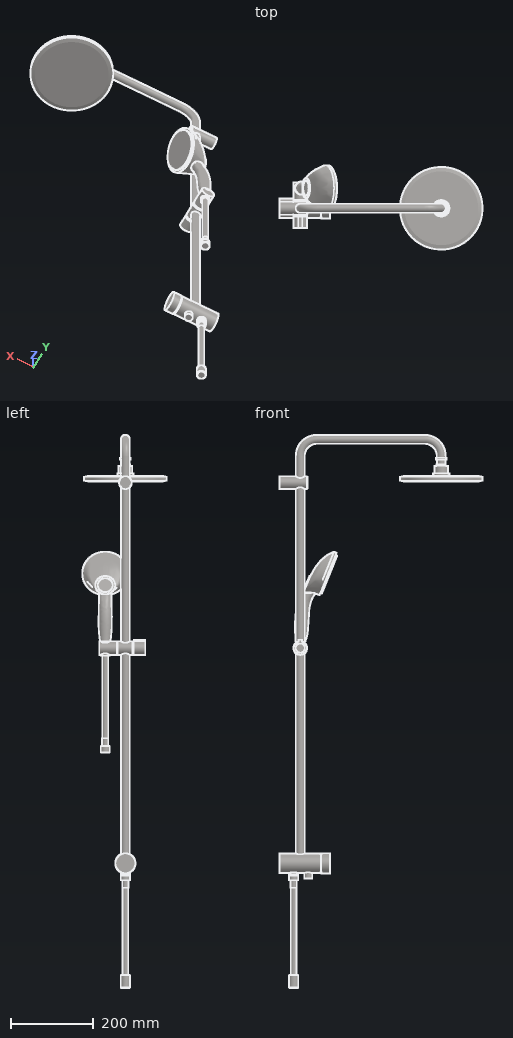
import cadquery as cq


rail_diameter = 22.0
arm_diameter = rail_diameter
bend_radius = 40.0
arm_reach = 340.0
arm_top = 1033.5
arm_axis_z = arm_top - arm_diameter / 2
bend_start_z = arm_axis_z - bend_radius
arm_end_length = 5.0
arm_end_z = bend_start_z - arm_end_length
wall_x = -50.55
bracket_diameter = 31.3
bracket_end_x = 18.0
bracket_z = 918.0
bracket_chamfer = 2.0

diverter_diameter = 48.0
diverter_end_x = 49.0
diverter_knob_diameter = 49.5
diverter_knob_end_x = 72.0
diverter_knob_gap = 2.0
diverter_knob_groove_depth = 2.5
button_x = 19.0
button_diameter = 19.9
button_bottom_z = -37.0

hose_diameter = 15.0
hose_nut_diameter = 22.6
supply_hose_x = -16.0
supply_nut_bottom_z = -41.0
outlet_groove_top_z = -27.0
outlet_groove_width = 3.0
outlet_groove_diameter = 20.96
ferrule_length = 18.0
ferrule_diameter = 15.6
supply_bottom_z = -300.86
end_nut_length = 32.0
end_nut_chamfer = 1.5

head_diameter = 200.0
plate_bottom_z = 920.5
plate_thickness = 14.0
plate_bevel_height = 2.5
plate_bevel_width = 11.0
hub_diameter = 33.4
hub_height = 24.0
hub_flange_diameter = 40.0
hub_flange_height = 6.0
swivel_diameter = 20.96
collar_diameter = 26.0
collar_thickness = 4.0
lower_collar_diameter = 22.9

slider_z = 519.0
slider_diameter = 33.4
slider_knob_rib_width = 9.0
slider_knob_rib_height = 3.5
slider_knob_recess_diameter = 22.0
slider_knob_recess_depth = 1.0
slider_back_y = 63.0
slider_front_y = -17.0
slider_knob_start_y = -20.0
slider_knob_end_y = -48.0
slider_neck_diameter = 31.3
slider_groove_y = 18.0
slider_groove_width = 3.0

hand_y = 48.67
hand_head_radius = 55.5
face_x = 69.0
face_z = 697.0
face_tilt = 22.0
facing_x_angle = 90.0
face_diameter = 98.8
face_lip = 2.0
hand_rim_thickness = 9.0
dial_diameter = 48.0
dial_drop = 45.0
dial_depth = 40.0
dial_thickness = 2.0
back_middle_radius = 46.0
back_middle_drop = 12.0
back_middle_depth = 26.0
dial_recess_diameter = 36.0
dial_recess_depth = 1.0
stem_diameter = 22.6
stem_top_z = 535.0
stem_bottom_z = 500.0
hand_hose_bottom_z = 266.5
hand_end_nut_length = 17.0
handle_sections = [(0.0, 535.0, 12.5), (4.0, 590.0, 16.5), (11.0, 632.0, 15.5), (22.0, 652.0, 15.5)]


def upright(diameter, bottom_z, top_z, x=0.0, y=0.0):
    """Vertical cylinder between two heights."""
    base = cq.Workplane("XY", origin=(x, y, bottom_z))
    return base.circle(diameter / 2).extrude(top_z - bottom_z)


def along_x(diameter, start_x, end_x, z):
    """Cylinder parallel to X, on the plane of the rail axis."""
    base = cq.Workplane("YZ", origin=(start_x, 0, z))
    return base.circle(diameter / 2).extrude(end_x - start_x)


def along_y(diameter, start_y, end_y, z):
    """Cylinder parallel to Y through the rail axis; end_y is greater than start_y."""
    base = cq.Workplane("XZ", origin=(0, end_y, z))
    return base.circle(diameter / 2).extrude(end_y - start_y)


def hose(x, y, top_z, bottom_z, nut_length, ferrule_top_z):
    """Hose with a slightly wider ferrule and a chamfered nut at its lower end."""
    nut_top_z = bottom_z + nut_length
    line = upright(hose_diameter, nut_top_z, top_z, x, y)
    ferrule = upright(ferrule_diameter, ferrule_top_z - ferrule_length, ferrule_top_z, x, y)
    nut = upright(hose_nut_diameter, bottom_z, nut_top_z, x, y)
    nut = nut.faces("<Z or >Z").chamfer(end_nut_chamfer)
    return line.union(ferrule).union(nut)


def make_arm():
    """Bent tube from the top of the rail, over and down to the overhead shower."""
    path = (
        cq.Workplane("XZ", origin=(0, 0, bend_start_z))
        .radiusArc((bend_radius, bend_radius), bend_radius)
        .lineTo(arm_reach - bend_radius, bend_radius)
        .radiusArc((arm_reach, 0), bend_radius)
        .lineTo(arm_reach, arm_end_z - bend_start_z)
    )
    section = cq.Workplane("XY", origin=(0, 0, bend_start_z)).circle(arm_diameter / 2)
    return section.sweep(path)


def make_outlet():
    """Hose outlet under the diverter, with a groove around it."""
    groove_bottom_z = outlet_groove_top_z - outlet_groove_width
    nut = upright(hose_nut_diameter, supply_nut_bottom_z, groove_bottom_z, supply_hose_x)
    core = upright(outlet_groove_diameter, groove_bottom_z, outlet_groove_top_z, supply_hose_x)
    collar = upright(hose_nut_diameter, outlet_groove_top_z, 0, supply_hose_x)
    return nut.union(core).union(collar)


def make_diverter():
    """Horizontal diverter with its end knob, lower button and hose outlet."""
    knob_start_x = diverter_end_x + diverter_knob_gap
    neck_diameter = diverter_diameter - 2 * diverter_knob_groove_depth
    body = along_x(diverter_diameter, wall_x, diverter_end_x, 0)
    neck = along_x(neck_diameter, diverter_end_x, knob_start_x, 0)
    knob = along_x(diverter_knob_diameter, knob_start_x, diverter_knob_end_x, 0)
    button = upright(button_diameter, button_bottom_z, 0, button_x)
    return body.union(neck).union(knob).union(button).union(make_outlet())


def make_column():
    """Rail with arm, wall bracket, diverter and supply hose."""
    rail = upright(rail_diameter, 0, bend_start_z)
    bracket = along_x(bracket_diameter, wall_x, bracket_end_x, bracket_z)
    bracket = bracket.faces(">X").chamfer(bracket_chamfer)
    supply_hose = hose(
        supply_hose_x, 0, supply_nut_bottom_z, supply_bottom_z, end_nut_length, supply_nut_bottom_z
    )
    return rail.union(make_arm()).union(bracket).union(make_diverter()).union(supply_hose)


def make_overhead_shower():
    """Round spray head with its hub and swivel, hanging from the arm end."""
    plate_top_z = plate_bottom_z + plate_thickness
    hub_top_z = plate_top_z + hub_height
    flange_top_z = plate_top_z + hub_flange_height
    plate = upright(head_diameter, plate_bottom_z, plate_top_z, arm_reach)
    plate = plate.faces("<Z or >Z").chamfer(plate_bevel_height, plate_bevel_width)
    hub = upright(hub_diameter, plate_top_z, hub_top_z, arm_reach)
    flange = upright(hub_flange_diameter, plate_top_z, flange_top_z, arm_reach)
    swivel = upright(swivel_diameter, hub_top_z, arm_end_z, arm_reach)
    collar = upright(collar_diameter, arm_end_z - collar_thickness, arm_end_z, arm_reach)
    lower_collar = upright(
        lower_collar_diameter, hub_top_z, hub_top_z + collar_thickness, arm_reach
    )
    return plate.union(flange).union(hub).union(swivel).union(collar).union(lower_collar)


def make_hand_head():
    """Round spray face whose back narrows to an offset dial, tilted forward and down."""
    rim = upright(2 * hand_head_radius, -hand_rim_thickness, -face_lip)
    face = upright(face_diameter, -face_lip, face_lip)
    rim_center = cq.Vector(0, 0, -hand_rim_thickness)
    middle_center = cq.Vector(back_middle_drop, 0, -back_middle_depth)
    dial_center = cq.Vector(dial_drop, 0, -dial_depth)
    axis = cq.Vector(0, 0, 1)
    rim_edge = cq.Wire.makeCircle(hand_head_radius, rim_center, axis)
    middle_edge = cq.Wire.makeCircle(back_middle_radius, middle_center, axis)
    dial_edge = cq.Wire.makeCircle(dial_diameter / 2, dial_center, axis)
    back = cq.Workplane(cq.Solid.makeLoft([rim_edge, middle_edge, dial_edge]))
    dial_top = -dial_depth - dial_thickness
    dial = upright(dial_diameter, dial_top, -dial_depth, dial_drop)
    recess = upright(dial_recess_diameter, dial_top, dial_top + dial_recess_depth, dial_drop)
    head = rim.union(face).union(back).union(dial).cut(recess)
    head = head.rotate((0, 0, 0), (0, 1, 0), facing_x_angle + face_tilt)
    return head.translate((face_x, hand_y, face_z))


def make_handle():
    """Swelling handle lofted through round sections, joined to the stem in the slider."""
    wires = []
    for x, z, radius in handle_sections:
        wires.append(cq.Wire.makeCircle(radius, cq.Vector(x, hand_y, z), cq.Vector(0, 0, 1)))
    return cq.Workplane(cq.Solid.makeLoft(wires))


def make_hand_shower():
    """Hand shower with its handle, stem and hose."""
    stem = upright(stem_diameter, stem_bottom_z, stem_top_z, 0, hand_y)
    ferrule_top_z = hand_hose_bottom_z + hand_end_nut_length + ferrule_length
    hand_hose = hose(
        0, hand_y, stem_bottom_z, hand_hose_bottom_z, hand_end_nut_length, ferrule_top_z
    )
    return make_hand_head().union(make_handle()).union(stem).union(hand_hose)


def make_slider_knob():
    """Round knob with a grip rib along its top."""
    length = slider_knob_start_y - slider_knob_end_y
    rib_top = slider_diameter / 2 + slider_knob_rib_height
    knob = along_y(slider_diameter, slider_knob_end_y, slider_knob_start_y, slider_z)
    rib = cq.Workplane("XY").box(
        slider_knob_rib_width, length, rib_top, centered=(True, False, False)
    )
    knob = knob.union(rib.translate((0, slider_knob_end_y, slider_z)))
    recess_floor_y = slider_knob_end_y + slider_knob_recess_depth
    return knob.cut(
        along_y(slider_knob_recess_diameter, slider_knob_end_y, recess_floor_y, slider_z)
    )


def make_slider():
    """Clamp on the rail with a knob in front and a socket for the hand shower behind."""
    groove_end_y = slider_groove_y + slider_groove_width
    slider = along_y(slider_neck_diameter, slider_knob_start_y, slider_back_y, slider_z)
    slider = slider.union(along_y(slider_diameter, slider_front_y, slider_groove_y, slider_z))
    slider = slider.union(along_y(slider_diameter, groove_end_y, slider_back_y, slider_z))
    slider = slider.union(make_slider_knob())
    bore_bottom_z = slider_z - slider_diameter
    bore_top_z = slider_z + slider_diameter
    return slider.cut(upright(rail_diameter, bore_bottom_z, bore_top_z))


column = make_column()
overhead_shower = make_overhead_shower()
hand_shower = make_hand_shower()
slider = make_slider().cut(hand_shower)

result = cq.Compound.makeCompound(
    [column.val(), overhead_shower.val(), slider.val(), hand_shower.val()]
)